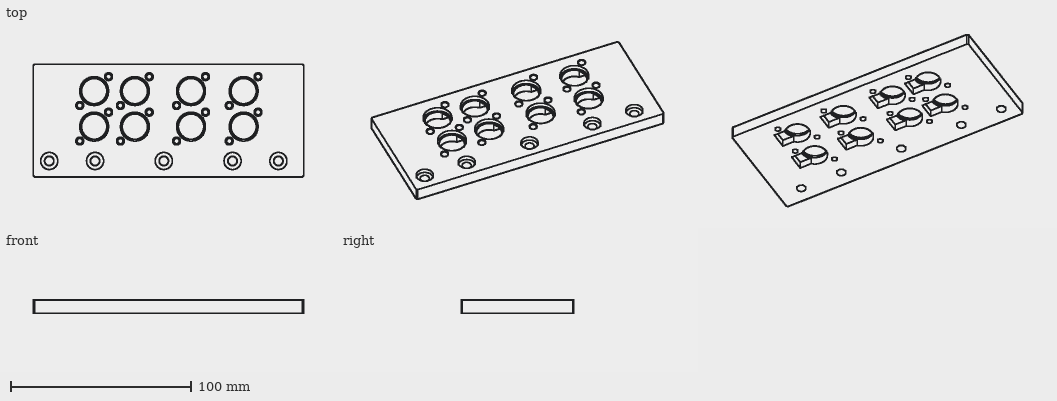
import cadquery as cq

LENGTH = 149.99
WIDTH = 62.61
THICKNESS = 7.54
CORNER_CHAMFER = 0.75

CONNECTOR_COLUMNS = (-41.2, -18.65, 12.5, 41.65)
CONNECTOR_PITCH_Y = 19.7
CONNECTOR_UPPER_Y = 16.33
CONNECTOR_ROWS = (CONNECTOR_UPPER_Y, CONNECTOR_UPPER_Y - CONNECTOR_PITCH_Y)
BORE_DIAMETER = 14.0
SEAT_DIAMETER = 16.0
SEAT_DEPTH = 2.5

LIP_THICKNESS = 0.5
RELIEF_WIDTH = 9.7
RELIEF_REACH = 12.0
RELIEF_DEPTH = THICKNESS - SEAT_DEPTH - LIP_THICKNESS

SCREW_OFFSET = 8.0
SCREW_DIAMETER = 3.0
SCREW_BORE_DIAMETER = 3.7
SCREW_BORE_DEPTH = 4.0
SCREW_MOUTH_DIAMETER = 4.3
SCREW_MOUTH_ANGLE = 90

MOUNT_CENTER_X = -2.6
MOUNT_INNER_SPACING = 38.1
MOUNT_OUTER_SPACING = 25.4
MOUNT_Y = -22.4
MOUNT_DIAMETER = 5.0
MOUNT_HEAD_DIAMETER = 9.5
MOUNT_HEAD_DEPTH = 2.5


def plate():
    """Flat rectangular blank with its four upright corner edges chamfered."""
    blank = cq.Workplane("XY").box(LENGTH, WIDTH, THICKNESS, centered=(True, True, False))
    return blank.edges("|Z").chamfer(CORNER_CHAMFER)


def stepped_holes(body, centers, diameter, head_diameter, head_depth):
    """Cut through holes with a wider flat-bottomed recess at the top face."""
    top = body.faces(">Z").workplane(origin=(0, 0, THICKNESS))
    return top.pushPoints(centers).cboreHole(diameter, head_diameter, head_depth)


def chamfered_mouths(body, centers, diameter, mouth_diameter, mouth_angle):
    """Open the tops of the holes with a conical chamfer."""
    top = body.faces(">Z").workplane(origin=(0, 0, THICKNESS))
    return top.pushPoints(centers).cskHole(diameter, mouth_diameter, mouth_angle)


def relief_slots(centers):
    """Underside slots, each from a bore centre out to its reach in +X."""
    slot_centers = [(x + RELIEF_REACH / 2, y) for x, y in centers]
    outline = cq.Workplane("XY").pushPoints(slot_centers).rect(RELIEF_REACH, RELIEF_WIDTH)
    return outline.extrude(RELIEF_DEPTH)


connector_centers = [(x, y) for x in CONNECTOR_COLUMNS for y in CONNECTOR_ROWS]
screw_centers = [
    (x + side * SCREW_OFFSET, y + side * SCREW_OFFSET)
    for x, y in connector_centers
    for side in (-1, 1)
]
mount_reach = MOUNT_INNER_SPACING + MOUNT_OUTER_SPACING
mount_offsets = (-mount_reach, -MOUNT_INNER_SPACING, 0, MOUNT_INNER_SPACING, mount_reach)
mount_centers = [(MOUNT_CENTER_X + offset, MOUNT_Y) for offset in mount_offsets]

result = plate()
result = stepped_holes(result, connector_centers, BORE_DIAMETER, SEAT_DIAMETER, SEAT_DEPTH)
result = stepped_holes(result, screw_centers, SCREW_DIAMETER, SCREW_BORE_DIAMETER, SCREW_BORE_DEPTH)
result = chamfered_mouths(result, screw_centers, SCREW_DIAMETER, SCREW_MOUTH_DIAMETER, SCREW_MOUTH_ANGLE)
result = result.cut(relief_slots(connector_centers))
result = stepped_holes(result, mount_centers, MOUNT_DIAMETER, MOUNT_HEAD_DIAMETER, MOUNT_HEAD_DEPTH)